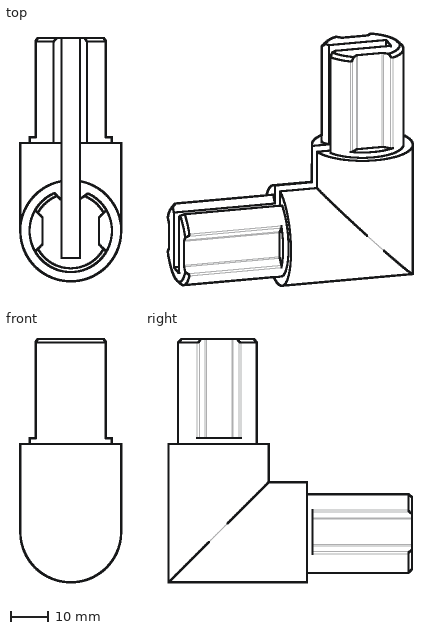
import cadquery as cq
import math

body_radius = 13.5
arm_reach = 51.5
plug_length = 28.0
plug_radius = 11.0
tip_chamfer = 1.0
shoulder = arm_reach - plug_length

slot_width = 5.0
slot_depth = 7.25

steep_flare_angle = 45.0
steep_flare_reach = 4.38
shallow_flare_angle = 35.0
shallow_flare_reach = 4.62

groove_floor = 7.55
groove_floor_width = 7.2
groove_collar = 1.5
groove_fillet = 0.5


def body():
    """Mitred cylinder around Z, kept on the z > y side of the elbow plane."""
    wedge = (
        cq.Workplane("YZ")
        .moveTo(-body_radius, -body_radius)
        .lineTo(body_radius, body_radius)
        .lineTo(body_radius, shoulder)
        .lineTo(-body_radius, shoulder)
        .close()
        .extrude(body_radius, both=True)
    )
    cylinder = (
        cq.Workplane("XY", origin=(0, 0, -body_radius))
        .circle(body_radius)
        .extrude(shoulder + body_radius)
    )
    return cylinder.intersect(wedge)


def plug_blank():
    """Plain round plug, standing on the end face of the body."""
    return cq.Workplane("XY", origin=(0, 0, shoulder)).circle(plug_radius).extrude(plug_length)


def side_groove(side):
    """Cutter for one groove with 45 degree walls; side is -1 or 1 along X."""
    half_floor = groove_floor_width / 2
    depth = plug_radius - groove_floor
    return (
        cq.Workplane("XY", origin=(0, 0, shoulder + groove_collar))
        .polyline([
            (side * groove_floor, -half_floor),
            (side * groove_floor, half_floor),
            (side * plug_radius, half_floor + depth),
            (side * plug_radius, -half_floor - depth),
        ])
        .close()
        .extrude(plug_length - groove_collar)
    )


def plug():
    """Plug with both side grooves, their edges rounded, and a chamfered tip."""
    grooved = plug_blank().cut(side_groove(-1)).cut(side_groove(1))
    groove_edges = grooved.edges("|Z").edges(cq.selectors.BoxSelector(
        (-plug_radius, -plug_radius, shoulder + groove_collar),
        (plug_radius, plug_radius, arm_reach),
    ))
    rounded = groove_edges.fillet(groove_fillet)
    chamfered_blank = plug_blank().faces(">Z").chamfer(tip_chamfer)
    return rounded.intersect(chamfered_blank)


def slot_flare(side, half_mouth, angle):
    """Wedge that slopes one lip of the slot along the whole plug; side is -1 or 1 along X."""
    half_slot = slot_width / 2
    slope = math.tan(math.radians(angle))
    mouth_y = math.sqrt(plug_radius**2 - half_mouth**2)
    throat_y = mouth_y - (half_mouth - half_slot) * slope
    outer_x = half_slot + (plug_radius - throat_y) / slope
    return (
        cq.Workplane("XY", origin=(0, 0, shoulder))
        .polyline([
            (0, throat_y),
            (side * half_slot, throat_y),
            (side * outer_x, plug_radius),
            (0, plug_radius),
        ])
        .close()
        .extrude(plug_length)
    )


def slot():
    """Slab that opens the inner side of both arms and the elbow between them."""
    length = slot_depth + arm_reach
    return (
        cq.Workplane("XY", origin=(0, -slot_depth, -slot_depth))
        .box(slot_width, length, length, centered=(True, False, False))
    )


upright_arm = (
    body()
    .union(plug())
    .cut(slot_flare(-1, steep_flare_reach, steep_flare_angle))
    .cut(slot_flare(1, shallow_flare_reach, shallow_flare_angle))
)
level_arm = upright_arm.rotate((0, 0, 0), (0, 1, 1), 180)

result = upright_arm.union(level_arm).cut(slot()).clean()